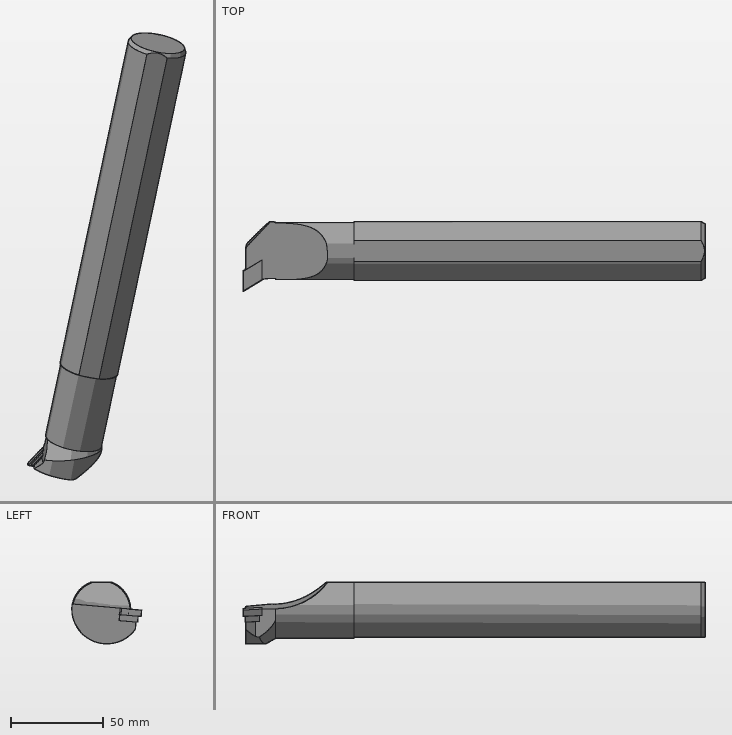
import cadquery as cq
import math

total_length = 250.0
shank_radius = 16.0
flat_height = 15.0
neck_radius = 15.5
neck_end_x = 60.0
end_chamfer_length = 2.2
end_chamfer_depth = 1.2

head_radius = 19.0
head_center_y = -3.0
head_center_z = 0.5
head_end_x = 17.5
taper_angle = 30.0
front_face_x = 1.2

rake_angle = 5.0
rake_z = 1.8
head_depth = 30.0

chamfer_start_y = 1.8
chamfer_end_x = 15.0
chamfer_end_y = 16.2
front_corner_radius = 5.0
nose_y = -19.5
nose_facet_end_x = 6.8
nose_facet_end_y = -16.0
side_wall_y = -15.0
side_corner_x = 13.0
side_corner_radius = 20.0

clearance_center_x = -12.5
clearance_flat_radius = 32.5
clearance_fillet_radius = 31.2
clearance_height = 22.5

insert_back_x = 10.2
insert_width = 11.0
insert_tip_y = -22.0
insert_side_rise = 6.2
insert_thickness = 3.5
pad_thickness = 3.2
pad_front_x = 1.0
pad_side_inset = 1.0

rake_plane = cq.Plane(origin=(0, 0, rake_z)).rotated((rake_angle, 0, 0))


def along_x(start_x, end_x, radius, y=0, z=0):
    """Cylinder parallel to X."""
    plane = cq.Workplane("YZ", origin=(start_x, y, z))
    return plane.circle(radius).extrude(end_x - start_x)


def make_shank():
    start_x = neck_end_x
    profile = (
        cq.Workplane("XY")
        .moveTo(start_x, 0)
        .lineTo(start_x, shank_radius)
        .lineTo(total_length - end_chamfer_length, shank_radius)
        .lineTo(total_length, shank_radius - end_chamfer_depth)
        .lineTo(total_length, 0)
        .close()
    )
    bar = profile.revolve(360, (0, 0, 0), (1, 0, 0))
    flats = cq.Workplane("XY").box(2 * total_length, 2 * shank_radius, 2 * flat_height)
    return bar.intersect(flats)


def make_neck():
    neck = along_x(head_end_x, neck_end_x, neck_radius)
    above_flat = (
        cq.Workplane("XY", origin=(0, 0, flat_height))
        .rect(2 * total_length, 2 * shank_radius)
        .extrude(shank_radius)
    )
    return neck.cut(above_flat)


def make_head():
    blank = along_x(0, head_end_x, head_radius, head_center_y, head_center_z)
    taper_radius = neck_radius + head_end_x * math.tan(math.radians(taper_angle))
    taper = (
        cq.Workplane("XY")
        .polyline([(0, 0), (0, taper_radius), (head_end_x, neck_radius), (head_end_x, 0)])
        .close()
        .revolve(360, (0, 0, 0), (1, 0, 0))
    )
    outline = (
        cq.Workplane(rake_plane)
        .polyline([
            (front_face_x, nose_y),
            (nose_facet_end_x, nose_facet_end_y),
            (side_corner_x, side_wall_y),
            (head_end_x, side_wall_y),
            (head_end_x, chamfer_end_y),
            (chamfer_end_x, chamfer_end_y),
            (front_face_x, chamfer_start_y),
        ])
        .close()
        .extrude(head_depth, both=True)
    )
    vertical = rake_plane.zDir
    front_corner = rake_plane.toWorldCoords((front_face_x, chamfer_start_y, 0))
    side_corner = rake_plane.toWorldCoords((side_corner_x, side_wall_y, 0))
    edges = cq.selectors.ParallelDirSelector(vertical)
    outline = outline.edges(edges).edges(
        cq.selectors.NearestToPointSelector(front_corner.toTuple())
    ).fillet(front_corner_radius)
    outline = outline.edges(edges).edges(
        cq.selectors.NearestToPointSelector(side_corner.toTuple())
    ).fillet(side_corner_radius)
    return blank.intersect(taper).intersect(outline)


def make_clearance():
    """Round cutter shape: flat bottom on the rake plane, flaring up in a tangent arc."""
    flat_r = clearance_flat_radius
    fillet_r = clearance_fillet_radius
    end_angle = math.acos(1 - clearance_height / fillet_r)
    mid_angle = end_angle / 2
    arc_mid = (flat_r + fillet_r * math.sin(mid_angle), fillet_r * (1 - math.cos(mid_angle)))
    arc_end = (flat_r + fillet_r * math.sin(end_angle), clearance_height)
    axis_origin = rake_plane.toWorldCoords((clearance_center_x, 0, 0))
    section_plane = cq.Plane(axis_origin, (1, 0, 0), -rake_plane.yDir)
    return (
        cq.Workplane(section_plane)
        .lineTo(flat_r, 0)
        .threePointArc(arc_mid, arc_end)
        .lineTo(0, clearance_height)
        .close()
        .revolve(360, (0, 0, 0), (0, 1, 0))
    )


def insert_block(front_x, side_inset, top_depth, thickness):
    """Parallelogram plate below the rake plane, set in from the insert outline."""
    slope = insert_side_rise / insert_back_x
    front_low_y = insert_tip_y + slope * front_x + side_inset
    front_high_y = insert_tip_y + insert_width + slope * front_x
    back_low_y = insert_tip_y + insert_side_rise + side_inset
    back_high_y = insert_tip_y + insert_side_rise + insert_width
    return (
        cq.Workplane(rake_plane)
        .workplane(offset=-top_depth)
        .polyline([
            (front_x, front_low_y),
            (insert_back_x, back_low_y),
            (insert_back_x, back_high_y),
            (front_x, front_high_y),
        ])
        .close()
        .extrude(-thickness)
    )


insert = insert_block(0, 0, 0, insert_thickness)
seat_pad = insert_block(pad_front_x, pad_side_inset, insert_thickness, pad_thickness)

holder = make_shank().union(make_neck()).union(make_head())
holder = holder.cut(make_clearance()).union(seat_pad).cut(insert)

result = cq.Compound.makeCompound([holder.val(), insert.val()])